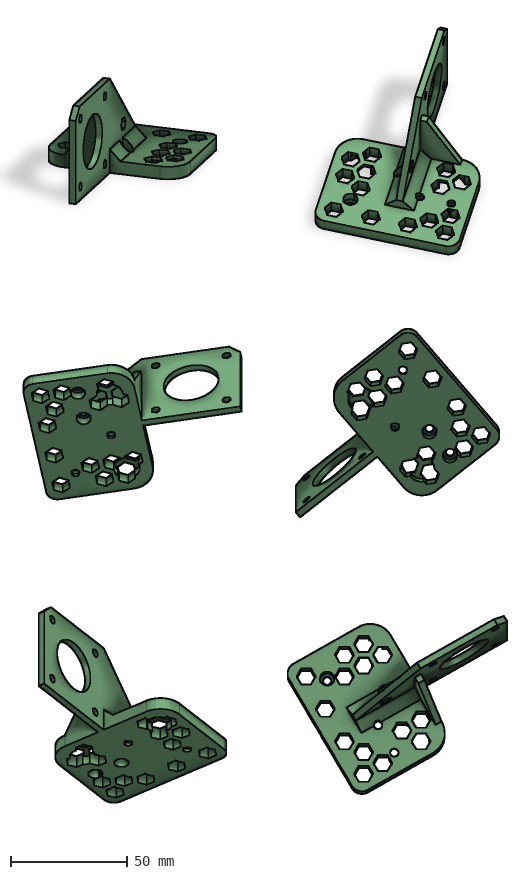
import cadquery as cq
import math

plate_width = 64.0
plate_depth = 47.5
plate_thickness = 5.8
front_corner_radius = 10.1
back_corner_radius = 5.0

total_length = 90.5
total_height = 43.0
wall_thickness = 3.0
wall_left = 28.0
wall_right = wall_left + wall_thickness
wall_front = plate_depth - total_length
wall_back = 32.4
wall_corner_chamfer = 5.0

motor_y = wall_front / 2
motor_z = total_height / 2
motor_bore_diameter = 24.0
motor_screw_diameter = 3.5
motor_screw_pitch = 30.95

ramp_size = 5.0
ramp_top = plate_thickness + ramp_size

gusset_height = 30.9
gusset_top_width = 3.0

hex_corner_radius = 4.1
hex_column_pitch = 8.2
hex_row_pitch = hex_column_pitch / math.sqrt(3)
first_hex_x = 7.1
first_hex_y = 7.2
plate_hexes = [
    (0, 1), (0, 5), (0, 7),
    (1, 0), (1, 2), (1, 6),
    (2, 7), (4, 7),
    (5, 0), (5, 2), (5, 4),
    (6, 1), (6, 3), (6, 7),
]
wall_hex_y = 17.4
wall_hex_z = 16.65
wall_hex_corner_radius = 2.9

skin_thickness = 1.5
counterbore_depth = plate_thickness - skin_thickness
screw_hole_diameter = 3.5
counterbore_diameter = 6.15
holes_bored_from_below = [(8.5, 24.4), (22.4, 24.4)]
holes_bored_from_above = [(51.0, 33.2), (33.5, 14.4)]

recess_inset = 11.7
recess_y = 11.0
recess_centers = [(recess_inset, recess_y), (plate_width - recess_inset, recess_y)]
recess_diameter = 11.2


def make_plate():
    plate = cq.Workplane("XY").box(plate_width, plate_depth, plate_thickness, centered=False)
    plate = plate.edges("|Z and <Y").fillet(front_corner_radius)
    return plate.edges("|Z and >Y").fillet(back_corner_radius)


def make_wall():
    outline = [
        (wall_front, 0),
        (wall_back, 0),
        (wall_back, ramp_top),
        (wall_back - (total_height - ramp_top), total_height),
        (wall_front + wall_corner_chamfer, total_height),
        (wall_front, total_height - wall_corner_chamfer),
    ]
    return cq.Workplane("YZ", origin=(wall_left, 0, 0)).polyline(outline).close().extrude(wall_thickness)


def make_ramps():
    outline = [
        (wall_left - ramp_size, plate_thickness),
        (wall_left, ramp_top),
        (wall_right, ramp_top),
        (wall_right + ramp_size, plate_thickness),
        (wall_right + ramp_size, 0),
        (wall_left - ramp_size, 0),
    ]
    return cq.Workplane("XZ").polyline(outline).close().extrude(-wall_back)


def make_gusset():
    outline = [
        (front_corner_radius, 0),
        (front_corner_radius, plate_thickness),
        (wall_left - gusset_top_width, gusset_height),
        (wall_left, gusset_height),
        (wall_left, 0),
    ]
    return cq.Workplane("XZ").polyline(outline).close().extrude(-wall_thickness)


def make_motor_cuts():
    face = cq.Workplane("YZ", origin=(wall_left, motor_y, motor_z))
    bore = face.circle(motor_bore_diameter / 2).extrude(wall_thickness)
    screws = face.rect(motor_screw_pitch, motor_screw_pitch, forConstruction=True).vertices()
    return bore.union(screws.circle(motor_screw_diameter / 2).extrude(wall_thickness))


def make_wall_hex():
    face = cq.Workplane("YZ", origin=(wall_left, wall_hex_y, wall_hex_z))
    return face.polygon(6, 2 * wall_hex_corner_radius).extrude(wall_thickness)


def make_plate_hexes():
    centers = [
        (first_hex_x + column * hex_column_pitch, first_hex_y + row * hex_row_pitch)
        for column, row in plate_hexes
    ]
    hexes = cq.Workplane("XY").pushPoints(centers).polygon(6, 2 * hex_corner_radius)
    return hexes.extrude(plate_thickness)


def make_screw_holes():
    centers = holes_bored_from_below + holes_bored_from_above
    return cq.Workplane("XY").pushPoints(centers).circle(screw_hole_diameter / 2).extrude(ramp_top)


def make_upper_counterbores():
    floor = cq.Workplane("XY", origin=(0, 0, skin_thickness))
    bores = floor.pushPoints(holes_bored_from_above).circle(counterbore_diameter / 2)
    return bores.extrude(ramp_top - skin_thickness)


def make_underside_bores(centers, diameter):
    return cq.Workplane("XY").pushPoints(centers).circle(diameter / 2).extrude(counterbore_depth)


result = (
    make_plate()
    .union(make_ramps())
    .cut(make_plate_hexes())
    .cut(make_screw_holes())
    .cut(make_upper_counterbores())
    .cut(make_underside_bores(holes_bored_from_below, counterbore_diameter))
    .cut(make_underside_bores(recess_centers, recess_diameter))
    .union(make_gusset())
    .union(make_wall())
    .cut(make_motor_cuts())
    .cut(make_wall_hex())
)